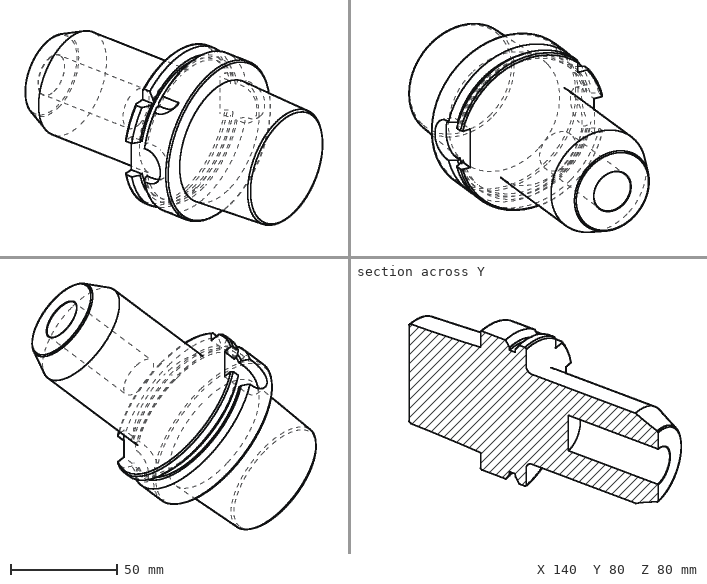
import cadquery as cq

total_length = 140.0
flange_front = 73.9
flange_back = 100.0

nose_face_radius = 19.7
nose_radius = 20.5
nose_edge_length = 0.5
nose_cone_end = 12.7
body_radius = 52.0 / 2

relief_start = 69.9
relief_radius = 51.8 / 2
relief_fillet = 3.4
relief_face_depth = 0.1
relief_outer_radius = 30.1

flange_radius = 80.0 / 2
flange_chamfer = 0.8
rim_edge_radius = 39.2
groove_rim_front = 78.1
groove_floor_front = 80.4
groove_floor_back = 83.5
groove_rim_back = 85.7
groove_slope_radius = 36.5
groove_floor_radius = 35.0

shank_base_radius = 30.4
shank_end_radius = 28.7
shank_chamfer = 1.0

bore_diameter = 20.0
bore_mouth_diameter = 20.5
bore_depth = 50.4

slot_floor = 33.9
slot_end = 95.9
front_slot_width = 18.2
rear_slot_width = 20.0
rear_slot_corner = 9.0
notch_offset = 25.0
notch_corner = 9.1
notch_cut_height = 19.6


def turned_body():
    """Outer profile revolved about the X axis."""
    relief_floor = flange_front + relief_face_depth
    fillet_start = relief_floor - relief_fillet
    fillet_center_radius = relief_radius + relief_fillet
    arc_offset = relief_fillet * 0.5 ** 0.5
    fillet_middle = (fillet_start + arc_offset, fillet_center_radius - arc_offset)
    profile = (
        cq.Workplane("XY")
        .lineTo(0, nose_face_radius)
        .lineTo(nose_edge_length, nose_radius)
        .lineTo(nose_cone_end, body_radius)
        .lineTo(relief_start, body_radius)
        .lineTo(fillet_start, relief_radius)
        .threePointArc(fillet_middle, (relief_floor, fillet_center_radius))
        .lineTo(flange_front, relief_outer_radius)
        .lineTo(flange_front, rim_edge_radius)
        .lineTo(flange_front + flange_chamfer, flange_radius)
        .lineTo(groove_rim_front, flange_radius)
        .lineTo(groove_floor_front, groove_slope_radius)
        .lineTo(groove_floor_front, groove_floor_radius)
        .lineTo(groove_floor_back, groove_floor_radius)
        .lineTo(groove_floor_back, groove_slope_radius)
        .lineTo(groove_rim_back, flange_radius)
        .lineTo(flange_back - flange_chamfer, flange_radius)
        .lineTo(flange_back, rim_edge_radius)
        .lineTo(flange_back, shank_base_radius)
        .lineTo(total_length - shank_chamfer, shank_end_radius)
        .lineTo(total_length, shank_end_radius - shank_chamfer)
        .lineTo(total_length, 0)
        .close()
    )
    return profile.revolve(360, (0, 0, 0), (1, 0, 0))


def bore():
    """Blind bore with a small chamfer at its mouth."""
    bore_radius = bore_diameter / 2
    mouth_radius = bore_mouth_diameter / 2
    profile = (
        cq.Workplane("XY")
        .lineTo(0, mouth_radius)
        .lineTo(mouth_radius - bore_radius, bore_radius)
        .lineTo(bore_depth, bore_radius)
        .lineTo(bore_depth, 0)
        .close()
    )
    return profile.revolve(360, (0, 0, 0), (1, 0, 0))


def slot_cutter(y_min, y_max, z_min, z_max, corner_radius):
    """Block open at the flange front, with rounded inner corners at slot_end."""
    length = slot_end - flange_front
    block = cq.Workplane("XY").box(length, y_max - y_min, z_max - z_min, centered=False)
    rounded = block.edges(">X and |Y").fillet(corner_radius)
    return rounded.translate((flange_front, y_min, z_min))


def round_end_slot():
    """Slot on the -Y side with a semicircular inner end."""
    end_radius = front_slot_width / 2
    end_center = slot_end - end_radius
    outline = (
        cq.Workplane("XZ", origin=(0, -slot_floor, 0))
        .moveTo(flange_front, -end_radius)
        .lineTo(end_center, -end_radius)
        .threePointArc((slot_end, 0), (end_center, end_radius))
        .lineTo(flange_front, end_radius)
        .close()
    )
    return outline.extrude(flange_radius - slot_floor)


def wide_slot():
    """Wider slot on the +Y side with a short flat between its rounded corners."""
    half_width = rear_slot_width / 2
    return slot_cutter(slot_floor, flange_radius, -half_width, half_width, rear_slot_corner)


def orientation_notch():
    """Corner notch on the -Y, +Z side, with a rounded inner end."""
    notch_top = notch_offset + notch_cut_height
    return slot_cutter(-flange_radius, -notch_offset, notch_offset, notch_top, notch_corner)


result = turned_body().cut(bore()).cut(round_end_slot()).cut(wide_slot()).cut(orientation_notch())